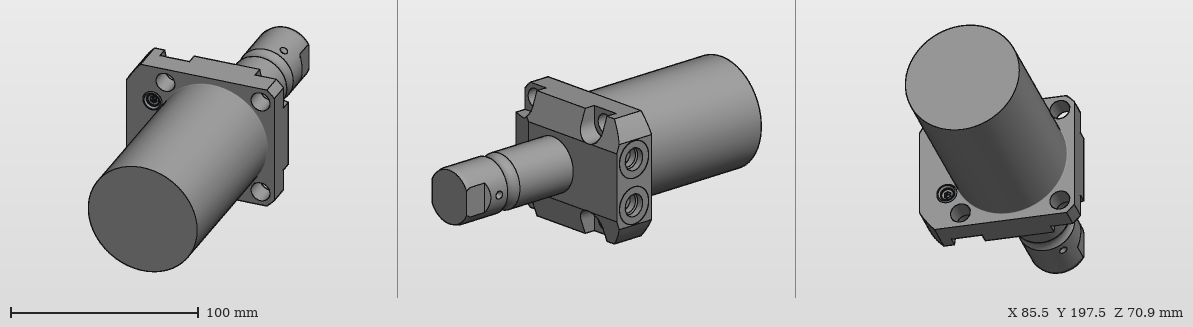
import cadquery as cq
import math

total_length = 197.5

flange_width = 85.5
flange_height = 70.9
flange_thickness = 25.3
port_face_height = 48.2
port_corner_width = 8.3
port_corner_radius = 51.3
turned_corner_radius = 47.2
bevel_width = 16.2
bevel_height = 6.0
flange_top = flange_height / 2
flange_right = flange_height / 2
flange_left = flange_right - flange_width

barrel_radius = 63.0 / 2
barrel_length = 97.0
root_fillet = 0.4

rod_radius = 31.8 / 2
rod_tip_y = total_length - barrel_length
tip_chamfer_length = 2.5
tip_chamfer_depth = 0.7
groove_start = 27.6
groove_width = 8.9
groove_depth = 1.5
flat_width = 27.0
flat_length = 13.0
dimple_distance = 21.5
dimple_radius = 2.4
dimple_angles = (60, 180, 300)

bolt_offset = 27.5
bolt_radius = 10.9 / 2
counterbore_radius = 8.5
counterbore_floor = 12.8
counterbore_depth = flange_thickness - counterbore_floor

port_y = 12.6
port_offset = 13.0
spotface_radius = 21.1 / 2
spotface_depth = 0.2
port_radius = 6.3
port_thread_depth = 4.1
port_bore_radius = 5.5
port_depth = 9.0

screw_x = -35.0
screw_offset = 14.6
screw_radius = 5.5
screw_length = 11.8
rim_radius = 4.7
rim_height = 0.4
dish_radius = 3.8
dish_depth = 0.8
floor_radius = 6.5 / 2
floor_depth = 1.5
socket_width = 3.5
socket_depth = 1.0
pilot_radius = 2.2 / 2
pilot_depth = 2.0


def disc(radius, y_start, y_end, x, z):
    """Cylinder along Y between two Y positions."""
    base = cq.Vector(x, y_start, z)
    return cq.Workplane(cq.Solid.makeCylinder(radius, y_end - y_start, base, cq.Vector(0, 1, 0)))


def make_flange():
    """Block with curved corners, bevelled along +X and both Z edges of its rod-side face."""
    port_face_top = port_face_height / 2
    corner_x = flange_left + port_corner_width
    turned_corner = math.sqrt(turned_corner_radius**2 - flange_top**2)
    turned_middle = turned_corner_radius * math.sqrt(0.5)
    block = (
        cq.Workplane("XZ")
        .moveTo(flange_left, -port_face_top)
        .lineTo(flange_left, port_face_top)
        .radiusArc((corner_x, flange_top), port_corner_radius)
        .lineTo(turned_corner, flange_top)
        .threePointArc((turned_middle, turned_middle), (flange_right, turned_corner))
        .lineTo(flange_right, -turned_corner)
        .threePointArc((turned_middle, -turned_middle), (turned_corner, -flange_top))
        .lineTo(corner_x, -flange_top)
        .radiusArc((flange_left, -port_face_top), port_corner_radius)
        .close()
        .extrude(-flange_thickness)
    )
    wedge = (
        cq.Workplane("XY")
        .moveTo(flange_right, flange_thickness)
        .lineTo(flange_right - bevel_width, flange_thickness)
        .lineTo(flange_right, flange_thickness - bevel_height)
        .close()
        .extrude(flange_width, both=True)
    )
    for angle in (-90, 0, 90):
        block = block.cut(wedge.rotate((0, 0, 0), (0, 1, 0), angle))
    return block


def make_barrel():
    """Barrel with a small fillet where it meets the flange."""
    return (
        cq.Workplane("XY")
        .lineTo(barrel_radius + root_fillet, 0)
        .radiusArc((barrel_radius, -root_fillet), -root_fillet)
        .lineTo(barrel_radius, -barrel_length)
        .lineTo(0, -barrel_length)
        .close()
        .revolve(360, (0, 0), (0, 1))
    )


def make_rod():
    """Round rod with a waist groove and a chamfered tip."""
    shoulder = rod_tip_y - groove_start
    groove_end = shoulder - groove_width
    groove_middle = shoulder - groove_width / 2
    return (
        cq.Workplane("XY")
        .lineTo(rod_radius, 0)
        .lineTo(rod_radius, groove_end)
        .threePointArc((rod_radius - groove_depth, groove_middle), (rod_radius, shoulder))
        .lineTo(rod_radius, rod_tip_y - tip_chamfer_length)
        .lineTo(rod_radius - tip_chamfer_depth, rod_tip_y)
        .lineTo(0, rod_tip_y)
        .close()
        .revolve(360, (0, 0), (0, 1))
    )


def cut_rod_flats(rod):
    """Two wrench flats at the tip, each ending in a 45 degree slope."""
    flat_x = flat_width / 2
    flat_end = rod_tip_y - flat_length
    slope_end = flat_end - (rod_radius - flat_x)
    for side in (-1, 1):
        flat = (
            cq.Workplane("XY")
            .moveTo(side * flat_x, rod_tip_y)
            .lineTo(side * flat_x, flat_end)
            .lineTo(side * rod_radius, slope_end)
            .lineTo(side * rod_radius, rod_tip_y)
            .close()
            .extrude(rod_radius, both=True)
        )
        rod = rod.cut(flat)
    return rod


def cut_rod_dimples(rod):
    """Three 90 degree conical dimples spaced evenly around the rod."""
    for angle in dimple_angles:
        across_x = math.cos(math.radians(angle))
        across_z = math.sin(math.radians(angle))
        mouth = cq.Vector(rod_radius * across_x, rod_tip_y - dimple_distance, rod_radius * across_z)
        inward = cq.Vector(-across_x, 0, -across_z)
        rod = rod.cut(cq.Workplane(cq.Solid.makeCone(dimple_radius, 0, dimple_radius, mouth, inward)))
    return rod


def cut_bolt_holes(body):
    """Four counterbored through holes."""
    for x in (-bolt_offset, bolt_offset):
        for z in (-bolt_offset, bolt_offset):
            body = body.cut(disc(bolt_radius, 0, flange_thickness, x, z))
            body = body.cut(disc(counterbore_radius, counterbore_floor, flange_thickness, x, z))
    return body


def cut_counterbore_openings(body):
    """Open every counterbore to the nearest Z side, and the +X pair to the +X side as well."""
    left_end = counterbore_radius - bolt_offset
    for side in (-1, 1):
        for x, end_x in ((-bolt_offset, left_end), (bolt_offset, flange_right)):
            start_x = x - counterbore_radius
            side_slot = (
                cq.Workplane("XY", origin=(0, 0, side * bolt_offset))
                .moveTo(start_x, counterbore_floor)
                .rect(end_x - start_x, counterbore_depth, centered=False)
                .extrude(side * counterbore_radius)
            )
            body = body.cut(side_slot)
        end_slot = (
            cq.Workplane("XY", origin=(0, 0, side * bolt_offset))
            .moveTo(bolt_offset, counterbore_floor)
            .rect(counterbore_radius, counterbore_depth, centered=False)
            .extrude(counterbore_radius, both=True)
        )
        body = body.cut(end_slot)
    return body


def cut_ports(body):
    """Two spotfaced ports whose threaded part narrows through a cone to a flat-bottomed bore."""
    cone_length = port_radius - port_bore_radius
    for z in (-port_offset, port_offset):
        port = (
            cq.Workplane("XY")
            .lineTo(0, spotface_radius)
            .lineTo(spotface_depth, spotface_radius)
            .lineTo(spotface_depth, port_radius)
            .lineTo(port_thread_depth, port_radius)
            .lineTo(port_thread_depth + cone_length, port_bore_radius)
            .lineTo(port_depth, port_bore_radius)
            .lineTo(port_depth, 0)
            .close()
            .revolve(360, (0, 0), (1, 0))
            .translate((flange_left, port_y, z))
        )
        body = body.cut(port)
    return body


def cut_screw_seats(body):
    for z in (-screw_offset, screw_offset):
        body = body.cut(disc(screw_radius, 0, screw_length, screw_x, z))
    return body


def make_housing():
    rod = cut_rod_dimples(cut_rod_flats(make_rod()))
    body = make_flange().union(make_barrel()).union(rod)
    body = cut_bolt_holes(body)
    body = cut_counterbore_openings(body)
    body = cut_ports(body)
    return cut_screw_seats(body)


def make_screw(z):
    """Screw with a rim standing proud, a conical dish, a sunken floor and a hexagon socket."""
    screw = (
        cq.Workplane("XY")
        .moveTo(0, screw_length)
        .lineTo(screw_radius, screw_length)
        .lineTo(screw_radius, 0)
        .lineTo(rim_radius, -rim_height)
        .lineTo(dish_radius, dish_depth)
        .lineTo(floor_radius, dish_depth)
        .lineTo(floor_radius, floor_depth)
        .lineTo(0, floor_depth)
        .close()
        .revolve(360, (0, 0), (0, 1))
        .translate((screw_x, 0, z))
    )
    socket = (
        cq.Workplane("XZ", origin=(screw_x, floor_depth, z))
        .polygon(6, socket_width, circumscribed=True)
        .extrude(-socket_depth)
    )
    pilot = disc(pilot_radius, floor_depth, floor_depth + pilot_depth, screw_x, z)
    return screw.cut(socket).cut(pilot)


housing = make_housing().solids().val()
screws = [make_screw(z).solids().val() for z in (-screw_offset, screw_offset)]

result = cq.Compound.makeCompound([housing, *screws])